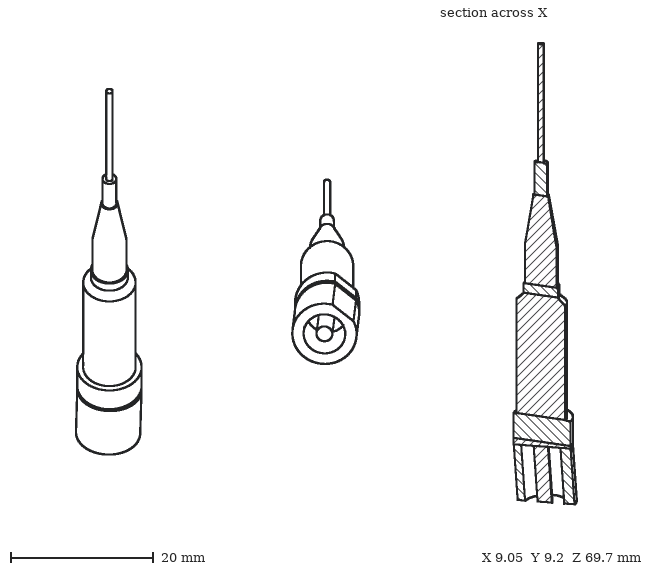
import cadquery as cq
import math

CABLE_TOP = 69.65
TUBE_TOP = 51.7
BOOT_TOP = 46.7
CONE_BOTTOM = 39.15
BOOT_BOTTOM = 33.0
NECK_BOTTOM = 31.55
SLEEVE_SHOULDER = 30.5
COLLAR_TOP = 13.15
COLLAR_BOTTOM = 9.3
BEND_HEIGHT = 8.65

CABLE_DIAMETER = 0.9
TUBE_DIAMETER = 1.95
BOOT_TIP_DIAMETER = 2.3
BOOT_DIAMETER = 4.8
NECK_DIAMETER = 5.2
SLEEVE_DIAMETER = 7.4
HEAD_DIAMETER = 9.05
SOCKET_DIAMETER = 5.85
FERRULE_DIAMETER = 2.2

FLAT_OFFSET = 4.1
HEAD_TILT = 4.0

TILT_RADIANS = math.radians(HEAD_TILT)
HEAD_LENGTH = (BEND_HEIGHT - FLAT_OFFSET * math.sin(TILT_RADIANS)) / math.cos(TILT_RADIANS)
HEAD_END = BEND_HEIGHT - HEAD_LENGTH


def rod(diameter, bottom, top):
    """Round rod on the main axis."""
    return cq.Workplane("XY", origin=(0, 0, bottom)).circle(diameter / 2).extrude(top - bottom)


def turned(points):
    """Solid of revolution about Z from (radius, height) points."""
    return cq.Workplane("XZ").polyline(points).close().revolve(360, (0, 0), (0, 1))


def flatted_rod(bottom, top):
    """Head-sized rod with the flat along its +Y side."""
    beyond_flat = (
        cq.Workplane("XY", origin=(0, FLAT_OFFSET + HEAD_DIAMETER / 2, bottom))
        .rect(HEAD_DIAMETER, HEAD_DIAMETER)
        .extrude(top - bottom)
    )
    return rod(HEAD_DIAMETER, bottom, top).cut(beyond_flat)


def tilted(shape):
    """Turn a shape built on the main axis about the bend, onto the head axis."""
    return shape.rotate((0, 0, BEND_HEIGHT), (1, 0, BEND_HEIGHT), -HEAD_TILT)


def make_boot():
    """Strain-relief boot: a cylinder that tapers to a narrow tip."""
    tip_radius = BOOT_TIP_DIAMETER / 2
    base_radius = BOOT_DIAMETER / 2
    return turned(
        [
            (0, BOOT_BOTTOM),
            (base_radius, BOOT_BOTTOM),
            (base_radius, CONE_BOTTOM),
            (tip_radius, BOOT_TOP),
            (0, BOOT_TOP),
        ]
    )


def make_sleeve():
    """Long sleeve whose top is beveled in to the neck ring."""
    neck_radius = NECK_DIAMETER / 2
    sleeve_radius = SLEEVE_DIAMETER / 2
    return turned(
        [
            (0, COLLAR_TOP),
            (sleeve_radius, COLLAR_TOP),
            (sleeve_radius, SLEEVE_SHOULDER),
            (neck_radius, NECK_BOTTOM),
            (0, NECK_BOTTOM),
        ]
    )


def make_wedge():
    """Upright spacer whose lower face is square to the head axis."""
    block_size = 2 * HEAD_DIAMETER
    above_bend = (
        cq.Workplane("XY", origin=(0, 0, BEND_HEIGHT)).rect(block_size, block_size).extrude(block_size)
    )
    return flatted_rod(0, COLLAR_BOTTOM).intersect(tilted(above_bend))


def make_head():
    """Tilted tubular head with a round socket along its axis."""
    socket = rod(SOCKET_DIAMETER, HEAD_END, BEND_HEIGHT)
    return tilted(flatted_rod(HEAD_END, BEND_HEIGHT).cut(socket))


cable = rod(CABLE_DIAMETER, TUBE_TOP, CABLE_TOP)
tube = rod(TUBE_DIAMETER, BOOT_TOP, TUBE_TOP)
boot = make_boot()
neck_ring = rod(NECK_DIAMETER, NECK_BOTTOM, BOOT_BOTTOM)
sleeve = make_sleeve()
collar = flatted_rod(COLLAR_BOTTOM, COLLAR_TOP)
wedge = make_wedge()
head = make_head()
ferrule = tilted(rod(FERRULE_DIAMETER, HEAD_END, BEND_HEIGHT))

bodies = [cable, tube, boot, neck_ring, sleeve, collar, wedge, head, ferrule]
result = cq.Compound.makeCompound([body.val() for body in bodies])